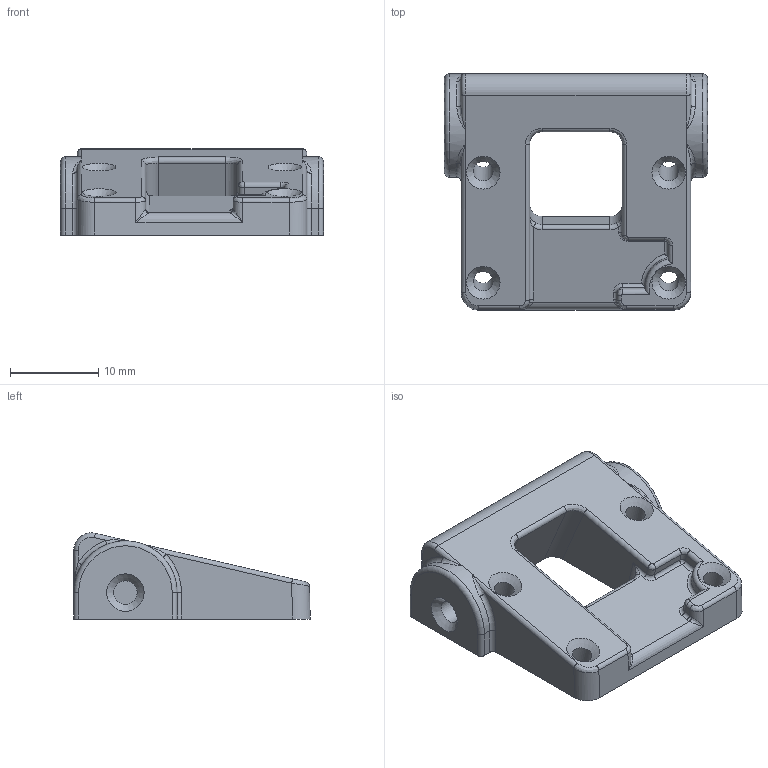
import cadquery as cq
import math

body_width = 26.0
body_length = 26.78
slope_angle = 13.0
front_height = 4.09
front_draft = 1.5
back_radius = 2.0
corner_radius = 2.0
edge_radius = 0.5

overall_width = 29.79
ear_radius = 5.85
axis_height = 3.0
ear_edge_radius = 0.55
ear_root_radius = 0.5
ear_bore = 2.65
ear_bore_mouth = 4.25
ear_bore_depth = 3.0

pocket_depth = 1.75
pocket_half_width = 5.25
window_front = 9.19
window_back = 20.0
window_corner_radius = 1.4
window_back_lean = 10.0
recess_side = 10.43
recess_back = 7.8
tab_side = 4.65
tab_back = 2.28
jog_radius = 0.65
recess_corner_radius = 0.45
boss_x = 11.2
boss_y = 2.45
boss_radius = 3.4
rim_radius = edge_radius
floor_radius = 0.4
window_lip_radius = 0.5
mouth_radius = 1.1

hole_x = 10.5
hole_rows = (3.11, 15.57)
hole_diameter = 2.25
sink_diameter = 3.8

slope = math.radians(slope_angle)
half_width = body_width / 2
ear_thickness = (overall_width - body_width) / 2
axis_y = body_length - ear_radius
window_middle = (window_front + window_back) / 2
back_tangent_y = body_length - back_radius * (1 - math.sin(slope))
window_depth = front_height + body_length * math.tan(slope)
ear_embed = edge_radius
clearance = 2.0
tolerance = 0.001

slope_plane = cq.Plane(
    origin=(0, 0, front_height),
    xDir=(1, 0, 0),
    normal=(0, -math.sin(slope), math.cos(slope)),
)
square_to_slope = cq.selectors.ParallelDirSelector(slope_plane.zDir)


def up_slope(y):
    """Distance up the slope to the point of the sloping plane above Y = y."""
    return y / math.cos(slope)


def lies_at_depth(edge, depth):
    """True when the whole edge lies in the plane at this depth below the slope."""
    return all(
        abs(slope_plane.toLocalCoords(edge.positionAt(t)).z + depth) < tolerance
        for t in (0, 0.3, 0.7, 1)
    )


def slope_prism(points, depth):
    """A prism square to the slope, from above it down to the given depth."""
    placed = [(x, up_slope(y)) for x, y in points]
    start = cq.Workplane(slope_plane).workplane(offset=clearance)
    return start.polyline(placed).close().extrude(-clearance - depth)


def round_corner(prism, x, y, radius):
    """Round the prism edge that stands on the point (x, y) of the slope."""
    foot = slope_plane.toWorldCoords((x, up_slope(y), 0)).toTuple()
    nearest = cq.selectors.NearestToPointSelector(foot)
    return prism.edges(square_to_slope).edges(nearest).fillet(radius)


def make_body():
    """The wedge: leaning front face, rounded back ridge and rounded front corners."""
    lean = math.tan(math.radians(front_draft))
    front_top = front_height / (1 - lean * math.tan(slope))
    outline = [
        (0, 0),
        (body_length, 0),
        (body_length, front_height + body_length * math.tan(slope)),
        (front_top * lean, front_top),
    ]
    body = cq.Workplane("YZ").polyline(outline).close().extrude(half_width, both=True)
    body = body.edges("|X and >Z").fillet(back_radius)
    return body.faces("<Y").edges("not |X").fillet(corner_radius)


def make_pocket():
    """Cutter for the stepped pocket, open at the front and notched around one screw boss."""
    outline = [
        (-pocket_half_width, -clearance),
        (tab_side, -clearance),
        (tab_side, tab_back),
        (recess_side, tab_back),
        (recess_side, recess_back),
        (pocket_half_width, recess_back),
        (pocket_half_width, window_middle),
        (-pocket_half_width, window_middle),
    ]
    pocket = slope_prism(outline, pocket_depth)
    pocket = round_corner(pocket, tab_side, tab_back, jog_radius)
    pocket = round_corner(pocket, pocket_half_width, recess_back, jog_radius)
    pocket = round_corner(pocket, recess_side, recess_back, recess_corner_radius)
    boss = (
        cq.Workplane(slope_plane)
        .center(boss_x, up_slope(boss_y))
        .circle(boss_radius)
        .extrude(clearance + pocket_depth, both=True)
    )
    return pocket.cut(boss)


def make_window():
    """Cutter for the window through the pocket floor; its back wall leans backwards."""
    front = up_slope(window_front)
    back = up_slope(window_back)
    lean = math.tan(math.radians(window_back_lean))
    section = cq.Plane(
        origin=slope_plane.origin, xDir=slope_plane.yDir, normal=slope_plane.xDir
    )
    outline = [
        (front, clearance),
        (back - clearance * lean, clearance),
        (back + window_depth * lean, -window_depth),
        (front, -window_depth),
    ]
    window = cq.Workplane(section).polyline(outline).close().extrude(pocket_half_width, both=True)
    upright = [
        edge
        for edge in window.edges("not |X").vals()
        if abs(edge.tangentAt(0).dot(slope_plane.zDir)) > math.cos(slope)
    ]
    return window.newObject(upright).fillet(window_corner_radius)


def is_mouth_edge(edge):
    """Edges where the pocket floor and side walls meet the front face."""
    middle = edge.Center()
    in_span = -pocket_half_width - tolerance < middle.x < tab_side + tolerance
    return in_span and middle.y < corner_radius / 10 and middle.z > front_height / 3


def lies_at_mouth(edge):
    """True for the edge along which the rounded mouth runs into the pocket floor."""
    middle = edge.Center()
    return middle.y < mouth_radius and abs(middle.x) < tab_side - tolerance


def is_floor_edge(edge):
    """Edges between the pocket floor and its walls, without the rounded mouth."""
    return lies_at_depth(edge, pocket_depth) and not lies_at_mouth(edge)


def is_rim_edge(edge):
    """Edges where the pocket walls meet the sloping top."""
    middle = edge.Center()
    inside = abs(middle.x) < recess_side + edge_radius and edge_radius < middle.y < window_back + edge_radius
    return inside and lies_at_depth(edge, 0) and not edge.IsClosed()


def is_outer_edge(edge):
    """Edges around the sloping top, over the back ridge and down the back corners."""
    middle = edge.Center()
    if middle.y > back_tangent_y:
        return abs(middle.x) > half_width - tolerance and middle.z > tolerance
    in_front = middle.y < edge_radius / 2 and abs(middle.x) > pocket_half_width + mouth_radius
    at_side = abs(middle.x) > half_width - corner_radius / 2
    return lies_at_depth(edge, 0) and not edge.IsClosed() and (at_side or in_front)


def is_window_lip(edge):
    """Edges where the front wall of the window meets the pocket floor."""
    middle = edge.Center()
    near = window_front < middle.y < window_front + 2 * window_corner_radius
    return near and abs(middle.x) < pocket_half_width and lies_at_depth(edge, pocket_depth)


def make_ear(side):
    """One hinge ear, rounded over the hinge axis and around its outer face."""
    profile = (
        cq.Workplane("YZ", origin=(side * (half_width - ear_embed), 0, 0))
        .moveTo(body_length, 0)
        .lineTo(body_length, axis_height)
        .threePointArc((axis_y, axis_height + ear_radius), (axis_y - ear_radius, axis_height))
        .lineTo(axis_y - ear_radius, 0)
        .close()
    )
    ear = profile.extrude(side * (ear_embed + ear_thickness))
    outer_face = ">X" if side > 0 else "<X"
    return ear.faces(outer_face).edges("not <Z").fillet(ear_edge_radius)


def is_ear_root(edge, side):
    """Edges where the rounded outline of an ear meets the flat side of the body."""
    on_side = all(abs(side * edge.positionAt(t).x - half_width) < tolerance for t in (0, 0.5, 1))
    middle = edge.Center()
    near_axis = math.hypot(middle.y - axis_y, middle.z - axis_height) < 1.05 * ear_radius
    rounded = edge.geomType() == "CIRCLE"
    straight = abs(middle.y - axis_y + ear_radius) < tolerance
    return on_side and near_axis and (rounded or straight)


def make_ear_bore(side):
    """Cutter for the blind, countersunk hinge bore of one ear."""
    mouth_depth = (ear_bore_mouth - ear_bore) / 2
    outline = [
        (0, 0),
        (ear_bore_mouth / 2, 0),
        (ear_bore / 2, mouth_depth),
        (ear_bore / 2, ear_bore_depth),
        (0, ear_bore_depth),
    ]
    face_center = (side * overall_width / 2, axis_y, axis_height)
    section = cq.Plane(origin=face_center, xDir=(0, 1, 0), normal=(0, 0, side))
    return cq.Workplane(section).polyline(outline).close().revolve(360, (0, 0), (0, 1))


def make_screw_hole(x, y):
    """Cutter for one countersunk hole, square to the slope and right through the base."""
    sink_depth = (sink_diameter - hole_diameter) / 2
    start = cq.Workplane(slope_plane).center(x, up_slope(y))
    bore = start.circle(hole_diameter / 2).extrude(-window_depth)
    sink = start.circle(sink_diameter / 2).workplane(offset=-sink_depth).circle(hole_diameter / 2).loft()
    return bore.union(sink)


part = make_body().cut(make_pocket())
for x in (-hole_x, hole_x):
    for y in hole_rows:
        part = part.cut(make_screw_hole(x, y))
part = part.newObject(filter(is_mouth_edge, part.edges().vals())).fillet(mouth_radius)
part = part.newObject(filter(is_floor_edge, part.edges().vals())).fillet(floor_radius)
part = part.cut(make_window())
part = part.newObject(filter(is_outer_edge, part.edges().vals())).fillet(edge_radius)
part = part.newObject(filter(is_rim_edge, part.edges().vals())).fillet(rim_radius)
part = part.newObject(filter(is_window_lip, part.edges().vals())).fillet(window_lip_radius)
for side in (-1, 1):
    part = part.union(make_ear(side))
    root = [edge for edge in part.edges().vals() if is_ear_root(edge, side)]
    part = part.newObject(root).fillet(ear_root_radius)
    part = part.cut(make_ear_bore(side))

result = part